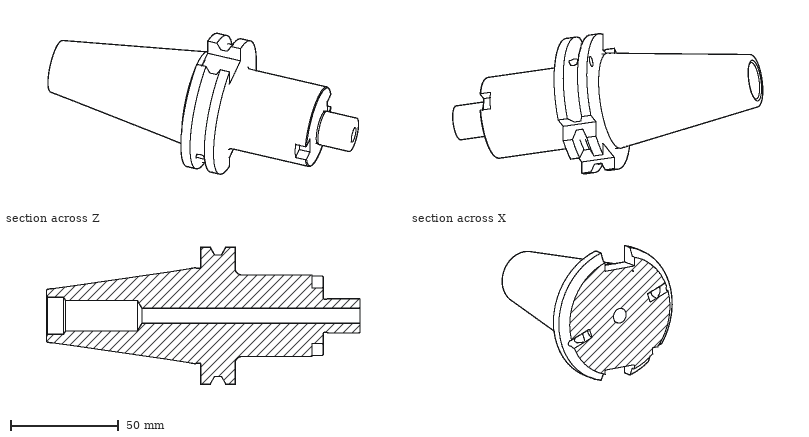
import cadquery as cq
import math

total_length = 145.4
flange_start = 71.5
flange_width = 16.0
flange_end = flange_start + flange_width
nose_end = 128.4

gauge_diameter = 44.6
gauge_position = 68.9
taper_ratio = 7 / 24
small_end_fillet = 1.0

collar_diameter = 44.2
collar_start = 69.8
collar_fillet = 0.3

flange_diameter = 63.5
groove_position = 79.5
groove_mouth_width = 7.0
groove_floor_width = 3.2
groove_floor_diameter = 56.4
groove_fillet = 0.51

keyway_width = 16.1
upper_keyway_floor = 22.8
lower_keyway_floor = 25.0
notch_corner = 18.5

nose_diameter = 38.0
nose_fillet = 3.0
nose_chamfer = 0.5
spigot_diameter = 16.0
spigot_fillet = 0.6
neck_diameter = 15.4
neck_length = 1.3
neck_taper_length = 0.9
neck_fillet = 0.6

drive_slot_width = 8.5
drive_slot_length = 5.2
drive_slot_floor = 13.0

mouth_diameter = 19.0
mouth_depth = 0.6
counterbore_diameter = 17.0
counterbore_depth = 8.0
thread_bore_diameter = 14.0
thread_bore_depth = 42.2
through_diameter = 6.8
drill_point_angle = 118

coolant_diameter = 4.2
coolant_angle = 20
coolant_mouth_radius = 27.0
coolant_tilt = 35
coolant_end_radius = 17.5


def revolve_profile(profile):
    """Turn a closed half profile (X, radius) in the XZ plane around the X axis."""
    return profile.close().revolve(360, (0, 0, 0), (1, 0, 0))


def make_body():
    half_taper = math.atan(taper_ratio / 2)
    end_radius = gauge_diameter / 2 - gauge_position * taper_ratio / 2
    fillet_reach = small_end_fillet * math.tan((math.pi / 2 - half_taper) / 2)
    face_radius = end_radius - fillet_reach
    fillet_end_x = fillet_reach * math.cos(half_taper)
    fillet_end_r = end_radius + fillet_reach * math.sin(half_taper)

    flange_radius = flange_diameter / 2
    groove_floor_radius = groove_floor_diameter / 2
    nose_radius = nose_diameter / 2
    neck_radius = neck_diameter / 2
    spigot_radius = spigot_diameter / 2
    neck_end = nose_end + neck_length
    spigot_start = neck_end + neck_taper_length

    profile = (
        cq.Workplane("XZ")
        .lineTo(0, face_radius)
        .tangentArcPoint((fillet_end_x, fillet_end_r), relative=False)
        .lineTo(gauge_position, gauge_diameter / 2)
        .lineTo(collar_start, collar_diameter / 2)
        .lineTo(flange_start - collar_fillet, collar_diameter / 2)
        .tangentArcPoint((flange_start, collar_diameter / 2 + collar_fillet), relative=False)
        .lineTo(flange_start, flange_radius)
        .lineTo(groove_position - groove_mouth_width / 2, flange_radius)
        .lineTo(groove_position - groove_floor_width / 2, groove_floor_radius)
        .lineTo(groove_position + groove_floor_width / 2, groove_floor_radius)
        .lineTo(groove_position + groove_mouth_width / 2, flange_radius)
        .lineTo(flange_end, flange_radius)
        .lineTo(flange_end, nose_radius + nose_fillet)
        .tangentArcPoint((flange_end + nose_fillet, nose_radius), relative=False)
        .lineTo(nose_end - nose_chamfer, nose_radius)
        .lineTo(nose_end, nose_radius - nose_chamfer)
        .lineTo(nose_end, neck_radius + neck_fillet)
        .tangentArcPoint((nose_end + neck_fillet, neck_radius), relative=False)
        .lineTo(neck_end, neck_radius)
        .lineTo(spigot_start, spigot_radius)
        .lineTo(total_length - spigot_fillet, spigot_radius)
        .tangentArcPoint((total_length, spigot_radius - spigot_fillet), relative=False)
        .lineTo(total_length, 0)
    )
    return round_groove_floor(revolve_profile(profile))


def round_groove_floor(body):
    """Round both edges of the groove floor."""
    half_floor = groove_floor_width / 2
    reach = groove_floor_diameter / 2 + groove_fillet
    near_floor = cq.selectors.BoxSelector(
        (groove_position - half_floor - groove_fillet, -reach, -reach),
        (groove_position + half_floor + groove_fillet, reach, reach),
    )
    return body.edges("%CIRCLE").edges(near_floor).fillet(groove_fillet)


def make_bore():
    through_radius = through_diameter / 2
    thread_radius = thread_bore_diameter / 2
    counterbore_radius = counterbore_diameter / 2
    drill_slope = math.tan(math.radians(drill_point_angle / 2))
    counterbore_cone = (counterbore_radius - thread_radius) / drill_slope
    thread_cone = (thread_radius - through_radius) / drill_slope
    profile = (
        cq.Workplane("XZ")
        .lineTo(0, mouth_diameter / 2)
        .lineTo(mouth_depth, counterbore_radius)
        .lineTo(counterbore_depth, counterbore_radius)
        .lineTo(counterbore_depth + counterbore_cone, thread_radius)
        .lineTo(thread_bore_depth, thread_radius)
        .lineTo(thread_bore_depth + thread_cone, through_radius)
        .lineTo(total_length, through_radius)
        .lineTo(total_length, 0)
    )
    return revolve_profile(profile)


def flange_block(y_min, y_max, z_min, z_max):
    """Box spanning the flange width, for cutting its rim."""
    return (
        cq.Workplane("XY")
        .box(flange_width, y_max - y_min, z_max - z_min, centered=False)
        .translate((flange_start, y_min, z_min))
    )


def make_rim_cutouts():
    rim = flange_diameter / 2
    half_keyway = keyway_width / 2
    upper_keyway = flange_block(-half_keyway, half_keyway, upper_keyway_floor, rim)
    lower_keyway = flange_block(-half_keyway, half_keyway, -rim, -lower_keyway_floor)
    corner_notch = flange_block(notch_corner, rim, -rim, -notch_corner)
    return upper_keyway.union(lower_keyway).union(corner_notch)


def make_drive_slot(side):
    """Slot in the nose end, on the +Y (side = 1) or -Y (side = -1) flank."""
    depth = nose_diameter / 2 - drive_slot_floor
    middle_y = side * (drive_slot_floor + depth / 2)
    return (
        cq.Workplane("XY")
        .box(drive_slot_length, depth, drive_slot_width)
        .translate((nose_end - drive_slot_length / 2, middle_y, 0))
    )


def cylinder_between(start, end, diameter):
    axis = end - start
    return cq.Workplane(obj=cq.Solid.makeCylinder(diameter / 2, axis.Length, start, axis))


def make_coolant_passage(turn):
    """Inclined hole from the flange face meeting a radial hole from the groove."""
    tilt = math.radians(coolant_tilt)
    slope = cq.Vector(math.cos(tilt), -math.sin(tilt), 0)
    mouth = cq.Vector(flange_start, coolant_mouth_radius, 0)
    meeting = mouth + slope * ((groove_position - flange_start) / slope.x)
    inclined = cylinder_between(mouth - slope * coolant_diameter, meeting, coolant_diameter)
    radial = cylinder_between(
        cq.Vector(groove_position, flange_diameter / 2, 0),
        cq.Vector(groove_position, coolant_end_radius, 0),
        coolant_diameter,
    )
    return inclined.union(radial).rotate((0, 0, 0), (1, 0, 0), turn)


result = make_body().cut(make_bore()).cut(make_rim_cutouts())
for side in (1, -1):
    result = result.cut(make_drive_slot(side))
for turn in (coolant_angle, coolant_angle + 180):
    result = result.cut(make_coolant_passage(turn))